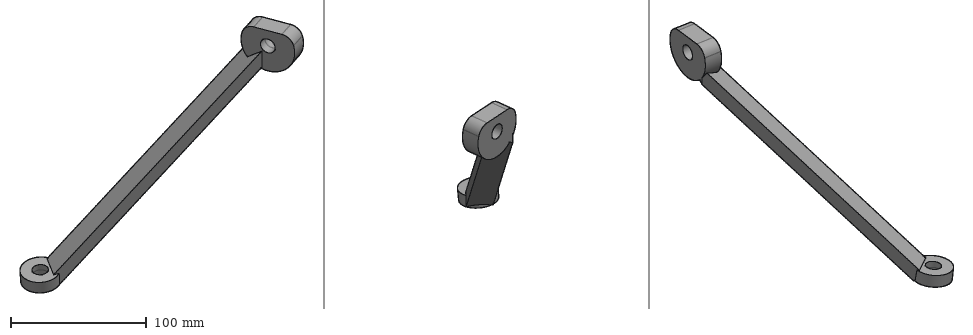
import cadquery as cq
import math

ring_diameter = 30.0
ring_thickness = 10.0
ring_tilt_x = 4.5
ring_tilt_y = 4.5
hole_diameter = 12.0

lug_center = cq.Vector(8.1, 177.5, 172.8)
lug_thickness = 15.0
lug_radius = 22.0
lug_flat_height = 13.5
lug_corner_radius = 10.0
lug_turn = 45.0

bar_width = 19.9
bar_thickness = 10.0
bar_slope = 45.0
bar_top_drop = 2.0
bar_overrun = 12.8
trim_size = 213.6


def tilt_ring(body):
    """Move a body from the level ring frame to the tilted ring."""
    origin = (0, 0, 0)
    return body.rotate(origin, (1, 0, 0), ring_tilt_x).rotate(origin, (0, 1, 0), ring_tilt_y)


def ring_cylinder(diameter):
    level = cq.Workplane("XY").circle(diameter / 2).extrude(ring_thickness / 2, both=True)
    return tilt_ring(level)


def lug_plane():
    """Mid-plane of the lug: local x along its width, local y up."""
    turn = math.radians(lug_turn)
    return cq.Plane(
        origin=lug_center.toTuple(),
        xDir=(math.cos(turn), math.sin(turn), 0),
        normal=(math.sin(turn), -math.cos(turn), 0),
    )


def make_lug():
    corner_y = lug_flat_height - lug_corner_radius
    corner_distance = lug_radius - lug_corner_radius
    corner_x = math.sqrt(corner_distance**2 - corner_y**2)
    tangent_x = corner_x * lug_radius / corner_distance
    tangent_y = corner_y * lug_radius / corner_distance
    mid_angle = (math.atan2(corner_y, corner_x) + math.pi / 2) / 2
    mid_x = corner_x + lug_corner_radius * math.cos(mid_angle)
    mid_y = corner_y + lug_corner_radius * math.sin(mid_angle)
    return (
        cq.Workplane(lug_plane())
        .moveTo(-corner_x, lug_flat_height)
        .lineTo(corner_x, lug_flat_height)
        .threePointArc((mid_x, mid_y), (tangent_x, tangent_y))
        .threePointArc((0, -lug_radius), (-tangent_x, tangent_y))
        .threePointArc((-mid_x, mid_y), (-corner_x, lug_flat_height))
        .close()
        .extrude(lug_thickness / 2, both=True)
    )


def make_bar():
    """Bar cut off at the underside of the ring and the back face of the lug."""
    slope = math.radians(bar_slope)
    length = lug_center.y / math.cos(slope) + 2 * bar_overrun
    along_bar = cq.Plane(
        origin=(0, 0, -bar_top_drop),
        xDir=(0, math.cos(slope), math.sin(slope)),
        normal=(0, -math.sin(slope), math.cos(slope)),
    )
    bar = (
        cq.Workplane(along_bar)
        .center(length / 2 - bar_overrun, 0)
        .rect(length, bar_width)
        .extrude(-bar_thickness)
    )
    below_ring = tilt_ring(
        cq.Workplane("XY", origin=(0, 0, -ring_thickness / 2))
        .rect(trim_size, trim_size)
        .extrude(-trim_size)
    )
    behind_lug = (
        cq.Workplane(lug_plane())
        .workplane(offset=-lug_thickness / 2)
        .rect(trim_size, trim_size)
        .extrude(-trim_size)
    )
    return bar.cut(below_ring).cut(behind_lug)


lug_hole = cq.Workplane(lug_plane()).circle(hole_diameter / 2).extrude(lug_thickness / 2, both=True)

result = (
    make_bar()
    .union(ring_cylinder(ring_diameter))
    .union(make_lug())
    .cut(ring_cylinder(hole_diameter))
    .cut(lug_hole)
)